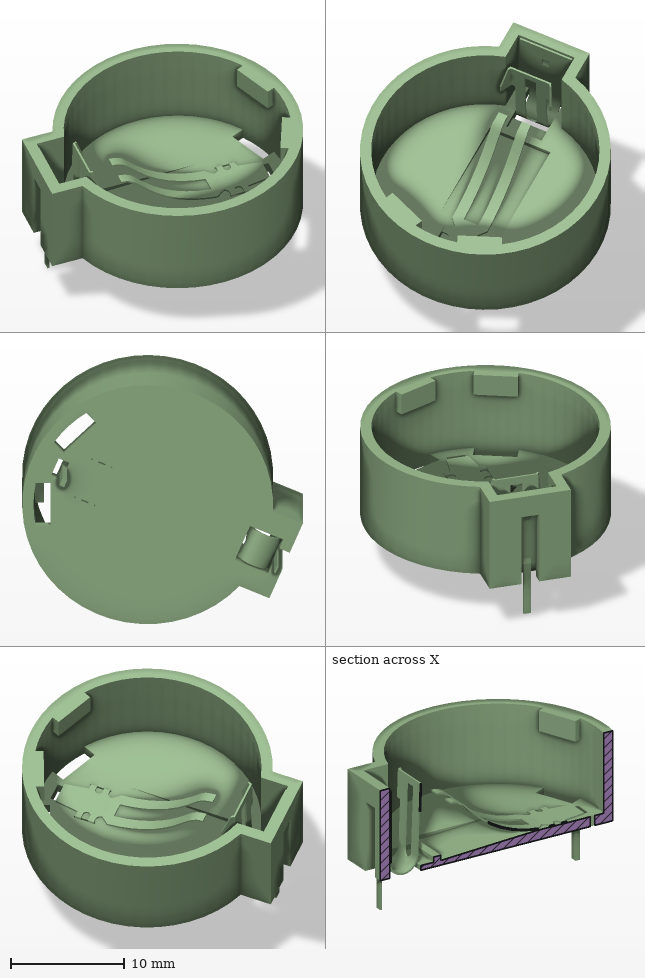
import cadquery as cq
import math

outer_diameter = 22.1
outer_radius = outer_diameter / 2
total_length = 24.3
height = 8.75
wall = 1.0
inner_radius = outer_radius - wall
floor_top = wall

neck_half_width = 3.75
neck_end_y = outer_radius - total_length
pocket_half_width = neck_half_width - wall
pocket_end_y = neck_end_y + wall

wall_slot_width = 1.65
wall_slot_top = 6.73

lug_angle = 23.0
lug_half_length = 1.97
lug_face_distance = 9.11
lug_height = 2.0
lug_opening_distance = 8.55

ramp_half_width = 2.96
ramp_start_y = 2.95
ramp_end_y = -6.97
ramp_depth = wall / 2

side_opening_half_width = 1.73
ledge_start_y = -7.73
ledge_end_y = -9.06
ledge_depth = wall / 2

sheet = 0.17
pin_width = 0.68
pin_drop = 3.65

plate_top = floor_top + sheet
plate_end_y = 8.3
plate_end_half_width = 1.02
shoulder_half_width = 1.35
tab_outer_x = 2.0
tab_inner_x = tab_outer_x - sheet
tab_front_y = 4.3
tab_back_y = 6.1
tab_bend_radius = 0.17
tab_slot_clearance = 0.1
notch_center_y = (tab_front_y + tab_back_y) / 2
notch_radius = 0.35
notch_tip_x = 1.12
waist_half_width = 1.12
waist_y = 3.85
waist_arc_start_x = 1.55
finger_root_half_width = 1.73
finger_root_y = 3.1
finger_half_width = 1.65
finger_taper_y = -4.85
tip_half_width = 1.58
tip_taper_length = 0.49
tip_y = -5.9
finger_gap_half_width = 0.7
finger_gap_end_y = 2.9
spring_start_y = 4.0
spring_angle = math.radians(45.0)
lower_bend_run = 7.53
upper_bend_run = 1.45
bottom_pin_depth = 0.45
pin_hole_half_width = 0.85
pin_hole_end_y = 8.87

bend_radius = 1.53
bend_center_y = pocket_end_y + bend_radius
bend_center_z = 1.45
strip_half_width = 1.5
back_plate_half_width = 2.55
contact_top = 8.43
strip_lean = 0.25
head_bottom = 5.73
head_half_width = 2.02
wing_length = 1.12
wing_angle = 62.0
wing_top_length = 0.3
wing_edge_drop = 2.07
window_half_width = 0.55
window_bottom = 0.83
window_top = 7.73
barb_bottom = 5.78
barb_reach = 0.35
side_pin_top = 1.97
side_pin_bend = 1.48
side_pin_offset = 0.15
side_pin_bottom = 0.1 - pin_drop


def block(x_range, y_range, z_range):
    """Axis-aligned box between the given limits."""
    lows, highs = zip(x_range, y_range, z_range)
    lengths = [high - low for low, high in zip(lows, highs)]
    return cq.Workplane("XY").box(*lengths, centered=False).translate(lows)


def centered_block(half_width, y_range, z_range):
    """Box symmetric about the YZ plane."""
    return block((-half_width, half_width), y_range, z_range)


def mirrored(shape):
    """The shape together with its mirror image across the YZ plane."""
    return shape.union(shape.mirror("YZ"))


def side_profile(points, half_width):
    """Closed polygon of (y, z) points extruded symmetrically along X."""
    return cq.Workplane("YZ").polyline(points).close().extrude(half_width, both=True)


def cup_shape(radius, half_width, end_y, bottom):
    """Cylinder with a rectangular neck toward -Y, from bottom to the rim."""
    cylinder = cq.Workplane("XY").workplane(offset=bottom).circle(radius).extrude(height - bottom)
    return cylinder.union(centered_block(half_width, (end_y, 0), (bottom, height)))


def lug_strip(distance, z_range, angle):
    """Block from a chord at the given distance to the inner wall, turned about Z."""
    strip = centered_block(lug_half_length, (distance, outer_radius), z_range)
    bore = cq.Workplane("XY").circle(inner_radius).extrude(height)
    return strip.intersect(bore).rotate((0, 0, 0), (0, 0, 1), angle)


def make_housing():
    body = cup_shape(outer_radius, neck_half_width, neck_end_y, 0)
    body = body.cut(cup_shape(inner_radius, pocket_half_width, pocket_end_y, floor_top))

    for angle in (-lug_angle, lug_angle):
        body = body.cut(lug_strip(lug_opening_distance, (0, floor_top), angle))
        body = body.union(lug_strip(lug_face_distance, (height - lug_height, height), angle))

    ramp = [(ramp_start_y, floor_top), (ramp_end_y, floor_top), (ramp_end_y, floor_top - ramp_depth)]
    body = body.cut(side_profile(ramp, ramp_half_width))

    body = body.cut(centered_block(side_opening_half_width, (ledge_end_y, ledge_start_y),
                                   (floor_top - ledge_depth, floor_top)))
    body = body.cut(centered_block(side_opening_half_width, (pocket_end_y, ledge_end_y), (0, floor_top)))
    body = body.cut(centered_block(wall_slot_width / 2, (neck_end_y, pocket_end_y), (0, wall_slot_top)))

    body = body.cut(centered_block(pin_hole_half_width, (plate_end_y - bottom_pin_depth, pin_hole_end_y),
                                   (0, floor_top)))
    tab_slot = block((tab_inner_x, tab_outer_x),
                     (tab_front_y - tab_slot_clearance, tab_back_y + tab_slot_clearance), (0, floor_top))
    return body.cut(mirrored(tab_slot))


def spring_sheet():
    """Flat plate running into an S-shaped spring that rises toward -Y."""
    sine, cosine = math.sin(spring_angle), math.cos(spring_angle)
    half_sine, half_cosine = math.sin(spring_angle / 2), math.cos(spring_angle / 2)
    lower_radius = lower_bend_run / sine
    upper_radius = upper_bend_run / sine
    lower_center_z = plate_top + lower_radius
    straight_start_y = spring_start_y - lower_bend_run
    straight_end_y = tip_y + upper_bend_run
    straight_rise = (straight_start_y - straight_end_y) * math.tan(spring_angle)
    upper_center_z = lower_center_z - lower_radius * cosine + straight_rise - upper_radius * cosine

    def on_lower(radius, bend_sine, bend_cosine):
        return (spring_start_y - radius * bend_sine, lower_center_z - radius * bend_cosine)

    def on_upper(radius, bend_sine, bend_cosine):
        return (tip_y + radius * bend_sine, upper_center_z + radius * bend_cosine)

    lower_under = lower_radius + sheet
    upper_under = upper_radius - sheet
    profile = (
        cq.Workplane("YZ")
        .moveTo(plate_end_y, plate_top)
        .lineTo(spring_start_y, plate_top)
        .threePointArc(on_lower(lower_radius, half_sine, half_cosine), on_lower(lower_radius, sine, cosine))
        .lineTo(*on_upper(upper_radius, sine, cosine))
        .threePointArc(on_upper(upper_radius, half_sine, half_cosine), on_upper(upper_radius, 0, 1))
        .lineTo(*on_upper(upper_under, 0, 1))
        .threePointArc(on_upper(upper_under, half_sine, half_cosine), on_upper(upper_under, sine, cosine))
        .lineTo(*on_lower(lower_under, sine, cosine))
        .threePointArc(on_lower(lower_under, half_sine, half_cosine), (spring_start_y, floor_top))
        .lineTo(plate_end_y, floor_top)
        .close()
    )
    return profile.extrude(tab_outer_x, both=True)


def contact_outline():
    """Plan shape of the bottom contact as a tall prism."""
    arc_run = waist_arc_start_x - waist_half_width
    arc_drop = tab_front_y - waist_y
    arc_middle = (waist_arc_start_x - arc_run * math.sin(math.pi / 4),
                  waist_y + arc_drop * math.cos(math.pi / 4))
    half = (
        cq.Workplane("XY")
        .moveTo(0, plate_end_y)
        .lineTo(plate_end_half_width, plate_end_y)
        .lineTo(shoulder_half_width, tab_back_y)
        .lineTo(tab_outer_x, tab_back_y)
        .lineTo(tab_outer_x, tab_front_y)
        .lineTo(waist_arc_start_x, tab_front_y)
        .threePointArc(arc_middle, (waist_half_width, waist_y))
        .lineTo(finger_root_half_width, finger_root_y)
        .lineTo(finger_half_width, finger_taper_y)
        .lineTo(tip_half_width, finger_taper_y - tip_taper_length)
        .lineTo(tip_half_width, tip_y)
        .lineTo(finger_gap_half_width, tip_y)
        .lineTo(finger_gap_half_width, finger_gap_end_y)
        .lineTo(0, finger_gap_end_y)
        .close()
        .extrude(height)
    )
    return mirrored(half)


def make_bottom_contact():
    body = spring_sheet().intersect(contact_outline())

    tab = block((tab_inner_x, tab_outer_x), (tab_front_y, tab_back_y), (0, plate_top))
    body = body.union(mirrored(tab))
    outer_edges = cq.selectors.BoxSelector(
        (tab_outer_x - sheet / 2, tab_front_y, floor_top),
        (tab_outer_x + sheet, tab_back_y, plate_top + sheet),
    )
    mirror_edges = cq.selectors.BoxSelector(
        (-tab_outer_x - sheet, tab_front_y, floor_top),
        (-tab_outer_x + sheet / 2, tab_back_y, plate_top + sheet),
    )
    body = body.edges("|Y").edges(outer_edges + mirror_edges).fillet(tab_bend_radius)

    notch_arc_x = notch_tip_x + notch_radius
    notch = block((notch_arc_x, tab_outer_x),
                  (notch_center_y - notch_radius, notch_center_y + notch_radius), (0, plate_top))
    notch_end = cq.Workplane("XY").center(notch_arc_x, notch_center_y).circle(notch_radius).extrude(plate_top)
    body = body.cut(mirrored(notch.union(notch_end)))

    pin = centered_block(pin_width / 2, (plate_end_y - bottom_pin_depth, plate_end_y), (-pin_drop, plate_top))
    return body.union(pin)


def u_strip(half_width):
    """U-shaped strip with one upright leg at the end wall and one leaning leg."""
    inner_bend_radius = bend_radius - sheet
    back_y = bend_center_y - bend_radius
    front_y = bend_center_y + bend_radius
    profile = (
        cq.Workplane("YZ")
        .moveTo(back_y, contact_top)
        .lineTo(back_y, bend_center_z)
        .threePointArc((bend_center_y, bend_center_z - bend_radius), (front_y, bend_center_z))
        .lineTo(front_y + strip_lean, contact_top)
        .lineTo(front_y + strip_lean - sheet, contact_top)
        .lineTo(front_y - sheet, bend_center_z)
        .threePointArc((bend_center_y, bend_center_z - inner_bend_radius), (back_y + sheet, bend_center_z))
        .lineTo(back_y + sheet, contact_top)
        .close()
    )
    return profile.extrude(half_width, both=True)


def head_with_wings():
    """Wide top of the leaning leg, with a wing bent toward the cup at each end."""
    head_height = contact_top - head_bottom
    head_zone = centered_block(head_half_width, (bend_center_y, 0), (head_bottom, contact_top))
    head = u_strip(head_half_width).intersect(head_zone)
    wing_start_y = bend_center_y + bend_radius + strip_lean - sheet / 2
    wing = (
        cq.Workplane("XZ")
        .polyline([
            (0, 0),
            (wing_length, 0),
            (wing_length, head_height - wing_edge_drop),
            (wing_top_length, head_height),
            (0, head_height),
        ])
        .close()
        .extrude(sheet / 2, both=True)
        .rotate((0, 0, 0), (0, 0, 1), wing_angle)
        .translate((head_half_width - sheet / 2, wing_start_y, head_bottom))
    )
    return head.union(mirrored(wing))


def make_side_contact():
    plate_outer_y = pocket_end_y
    plate_inner_y = plate_outer_y + sheet
    body = u_strip(strip_half_width).union(head_with_wings())
    body = body.union(centered_block(back_plate_half_width, (plate_outer_y, plate_inner_y),
                                     (bend_center_z, contact_top)))

    window_round_z = window_bottom + window_half_width
    window = centered_block(window_half_width, (bend_center_y, 0), (window_round_z, window_top))
    window_end = (
        cq.Workplane("XZ", origin=(0, bend_center_y, window_round_z))
        .circle(window_half_width)
        .extrude(bend_center_y)
    )
    body = body.cut(window.union(window_end))

    body = body.cut(centered_block(pin_width / 2, (plate_outer_y, plate_inner_y),
                                   (barb_bottom, wall_slot_top)))
    barb = [
        (plate_outer_y, barb_bottom),
        (plate_outer_y - barb_reach, wall_slot_top),
        (plate_inner_y - barb_reach, wall_slot_top),
        (plate_inner_y, barb_bottom),
    ]
    body = body.union(side_profile(barb, pin_width / 2))

    pin = [
        (plate_outer_y, side_pin_top),
        (plate_outer_y - side_pin_offset, side_pin_bend),
        (plate_outer_y - side_pin_offset, side_pin_bottom),
        (plate_inner_y - side_pin_offset, side_pin_bottom),
        (plate_inner_y - side_pin_offset, side_pin_bend),
        (plate_inner_y, side_pin_top),
    ]
    return body.union(side_profile(pin, pin_width / 2))


housing = make_housing()
bottom_contact = make_bottom_contact()
side_contact = make_side_contact()

result = cq.Compound.makeCompound([
    housing.solids().val(),
    bottom_contact.solids().val(),
    side_contact.solids().val(),
])